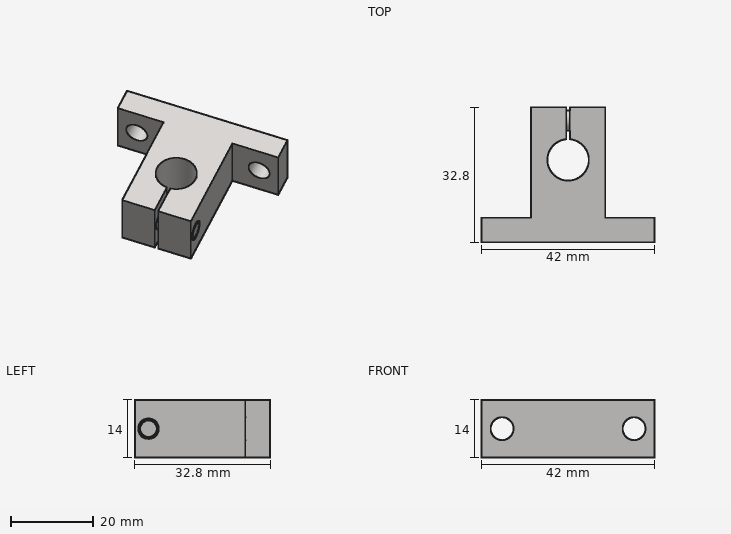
import cadquery as cq

base_length = 42.0
total_depth = 32.8
height = 14.0
base_thickness = 6.0
upright_width = 18.0

bore_diameter = 10.0
bore_center_y = 20.0
slot_width = 0.9

mount_hole_diameter = 5.5
mount_hole_spacing = 32.0

screw_diameter = 5.0
screw_edge_distance = 3.28
groove_inner_diameter = 4.0


def make_body():
    """T-shaped block with its front face at Y = 0, centred on X and Z."""
    base = cq.Workplane("XY").box(base_length, base_thickness, height, centered=(True, False, True))
    upright = cq.Workplane("XY").box(upright_width, total_depth, height, centered=(True, False, True))
    return base.union(upright)


def make_shaft_bore():
    return cq.Workplane("XY").center(0, bore_center_y).circle(bore_diameter / 2).extrude(height / 2, both=True)


def make_slot():
    """Slot from the bore centre out through the back of the upright."""
    slot_length = total_depth - bore_center_y
    return (
        cq.Workplane("XY")
        .center(0, bore_center_y + slot_length / 2)
        .rect(slot_width, slot_length)
        .extrude(height / 2, both=True)
    )


def make_mount_holes():
    return (
        cq.Workplane("XZ")
        .pushPoints([(-mount_hole_spacing / 2, 0), (mount_hole_spacing / 2, 0)])
        .circle(mount_hole_diameter / 2)
        .extrude(-base_thickness)
    )


def make_screw_shank():
    """Cylinder bridging the slot, reaching the full width of the upright along X."""
    return (
        cq.Workplane("YZ", origin=(-upright_width / 2, total_depth - screw_edge_distance, 0))
        .circle(screw_diameter / 2)
        .extrude(upright_width)
    )


def make_screw_groove():
    """Ring of triangular section between the screw tip and its countersunk hole."""
    outer_radius = screw_diameter / 2
    inner_radius = groove_inner_diameter / 2
    middle_radius = (outer_radius + inner_radius) / 2
    groove_depth = outer_radius - middle_radius
    return (
        cq.Workplane("XY", origin=(-upright_width / 2, total_depth - screw_edge_distance, 0))
        .polyline([(0, inner_radius), (groove_depth, middle_radius), (0, outer_radius)])
        .close()
        .revolve(360, (0, 0, 0), (1, 0, 0))
    )


body = make_body().cut(make_shaft_bore()).cut(make_slot()).cut(make_mount_holes())
result = body.union(make_screw_shank()).cut(make_screw_groove())